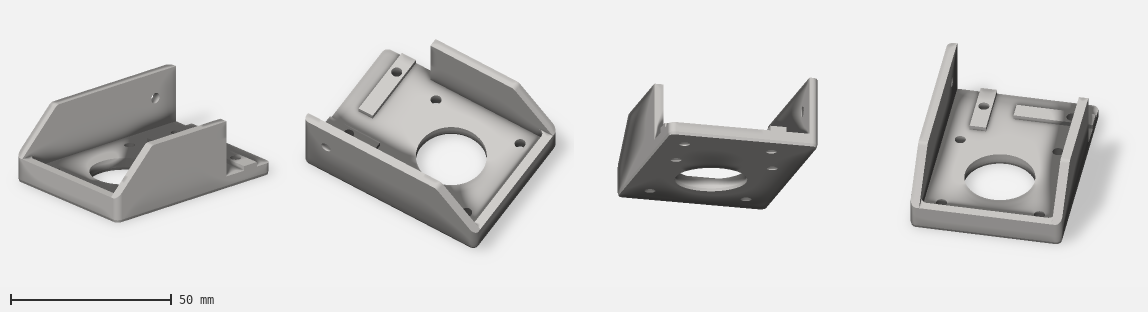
import cadquery as cq

width = 48.0
length = 63.5
height = 22.5
front_y = -length / 2
back_y = length / 2
right_x = width / 2

wall = 3.0
floor_thickness = 4.0
corner_radius = 2.05
front_wall_height = 8.0
right_wall_back_y = 13.4
slope_run = height - front_wall_height
slope_radius = 2.05
foot_height = 0.9
foot_inset = 0.25

motor_y = -7.7
motor_opening_diameter = 22.1
motor_screw_spacing = 31.0
screw_diameter = 3.4

pad_height = 1.5
pad_width = 5.2
long_pad_x = -11.0
long_pad_front_y = 13.2
cross_pad_x = -1.1
cross_pad_hole_x = 16.95
mount_y = 23.25
side_hole_z = 14.0


def box(x_min, x_max, y_min, y_max, z_min, z_max):
    """Box given by its limits along each axis."""
    size = (x_max - x_min, y_max - y_min, z_max - z_min)
    return cq.Workplane("XY").box(*size, centered=False).translate((x_min, y_min, z_min))


def outer_block():
    """Side profile with sloping front, rounded corners and a narrowed foot."""
    profile = [
        (front_y, 0),
        (back_y, 0),
        (back_y, height),
        (front_y + slope_run, height),
        (front_y, front_wall_height),
    ]
    block = cq.Workplane("YZ").polyline(profile).close().extrude(width / 2, both=True)
    slope_start = cq.selectors.NearestToPointSelector((0, front_y + slope_run, height))
    block = block.edges(slope_start).fillet(slope_radius)
    block = block.edges("|Z").fillet(corner_radius)
    return block.faces("<Z").edges().chamfer(foot_inset, foot_height)


def tray():
    """Hollow out the block, open at the back and along the rear of the right side."""
    inner_x = right_x - wall
    cavity = box(-inner_x, inner_x, front_y + wall, back_y + corner_radius, floor_thickness, height)
    cavity = cavity.edges("|Z and <Y").fillet(corner_radius)
    above_front_wall = box(-inner_x, inner_x, front_y, back_y, front_wall_height, height)
    right_opening = box(0, right_x, right_wall_back_y, back_y, floor_thickness, height)
    return outer_block().cut(cavity).cut(above_front_wall).cut(right_opening)


def pads():
    """One pad runs in from the back edge, the other from the right edge."""
    pad_top = floor_thickness + pad_height
    half = pad_width / 2
    long_pad = box(long_pad_x - half, long_pad_x + half, long_pad_front_y, back_y, 0, pad_top)
    cross_pad = box(cross_pad_x, right_x, mount_y - half, mount_y + half, 0, pad_top)
    raised = box(-right_x, right_x, front_y, back_y, floor_thickness, pad_top)
    return long_pad.union(cross_pad).intersect(raised)


def vertical_holes():
    """Motor opening, motor screws and pad screws, all through the floor."""
    opening = cq.Workplane("XY").center(0, motor_y).circle(motor_opening_diameter / 2)
    screws = (
        cq.Workplane("XY")
        .center(0, motor_y)
        .rect(motor_screw_spacing, motor_screw_spacing, forConstruction=True)
        .vertices()
        .circle(screw_diameter / 2)
    )
    pad_screws = (
        cq.Workplane("XY")
        .pushPoints([(long_pad_x, mount_y), (cross_pad_hole_x, mount_y)])
        .circle(screw_diameter / 2)
    )
    return opening.extrude(height).union(screws.extrude(height)).union(pad_screws.extrude(height))


def opening_flare():
    """Tapered widening of the motor opening, matching the narrowed foot."""
    radius = motor_opening_diameter / 2
    flare = cq.Workplane("XY").center(0, motor_y).circle(radius + foot_inset)
    return flare.workplane(offset=foot_height).circle(radius).loft(ruled=True)


def side_hole():
    """Screw hole through the left wall."""
    hole = cq.Workplane("YZ").center(mount_y, side_hole_z).circle(screw_diameter / 2)
    return hole.extrude(-width)


result = (
    tray()
    .union(pads())
    .cut(vertical_holes())
    .cut(opening_flare())
    .cut(side_hole())
)